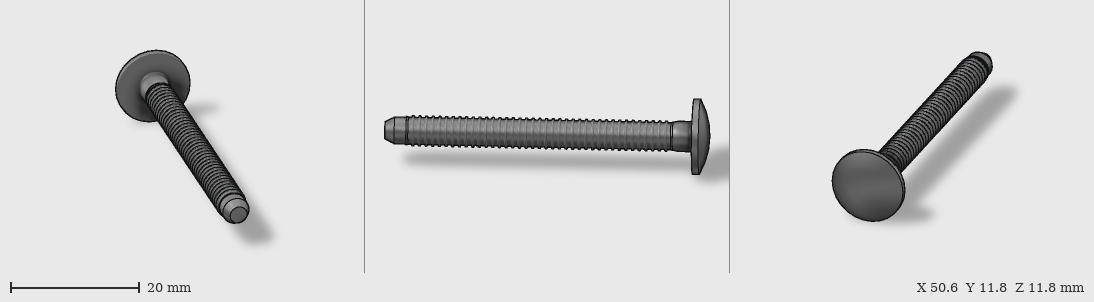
import cadquery as cq
import math

head_radius = 5.9
dome_height = 1.55
head_back = 2.65
rim_round = 0.15

neck_radius = 2.4
neck_fillet = 0.5
neck_end = 4.7
neck_taper_end = 5.05
neck_taper_drop = 0.025
neck_runout_radius = 2.2

core_radius = 2.15
rib_radius = 2.4
rib_start = 5.75
rib_end = 47.3
pitch_count = 40
crest_width = 0.1

tip_start = 49.1
tip_radius = 1.35
total_length = 50.6

rib_pitch = (rib_end - rib_start) / pitch_count
mid_flank_radius = (core_radius + rib_radius) / 2
flank_round = (rib_radius - core_radius) / 2
half_crest = crest_width / 2
half_mid = half_crest + flank_round
half_base = half_mid + flank_round


def add_head(outline):
    """Dome, flange rim with a rounded back edge, flat back face."""
    dome_radius = (head_radius**2 + dome_height**2) / (2 * dome_height)
    mid_radius = head_radius / 2
    mid_x = dome_radius - math.sqrt(dome_radius**2 - mid_radius**2)
    return (
        outline.threePointArc((mid_x, mid_radius), (dome_height, head_radius))
        .lineTo(head_back - rim_round, head_radius)
        .radiusArc((head_back, head_radius - rim_round), rim_round)
        .lineTo(head_back, neck_radius + neck_fillet)
    )


def add_neck(outline):
    """Fillet under the head, cylinder, slight taper, convex run-out towards the ribs."""
    return (
        outline.radiusArc((head_back + neck_fillet, neck_radius), -neck_fillet)
        .lineTo(neck_end, neck_radius)
        .lineTo(neck_taper_end, neck_radius - neck_taper_drop)
        .tangentArcPoint((rib_start, neck_runout_radius), relative=False)
    )


def add_rib(outline, center):
    """One rib: each S-shaped flank is a concave arc followed by a convex one."""
    return (
        outline.lineTo(center - half_base, core_radius)
        .radiusArc((center - half_mid, mid_flank_radius), -flank_round)
        .radiusArc((center - half_crest, rib_radius), flank_round)
        .lineTo(center + half_crest, rib_radius)
        .radiusArc((center + half_mid, mid_flank_radius), flank_round)
        .radiusArc((center + half_base, core_radius), -flank_round)
    )


def add_ribs(outline):
    """Row of ribs, with a low sloped half rib at either end of the row."""
    outline = outline.lineTo(rib_start, mid_flank_radius)
    outline = outline.lineTo(rib_start + half_base, core_radius)
    for rib in range(1, pitch_count):
        outline = add_rib(outline, rib_start + rib * rib_pitch)
    return (
        outline.lineTo(rib_end - half_base, core_radius)
        .lineTo(rib_end, mid_flank_radius)
        .lineTo(rib_end, core_radius)
    )


def add_tip(outline):
    """Plain cylinder ending in a blunt cone."""
    return (
        outline.lineTo(tip_start, core_radius)
        .lineTo(total_length, tip_radius)
        .lineTo(total_length, 0)
    )


outline = cq.Workplane("XY").moveTo(0, 0)
for add_section in (add_head, add_neck, add_ribs, add_tip):
    outline = add_section(outline)

result = outline.close().revolve(360, (0, 0, 0), (1, 0, 0))